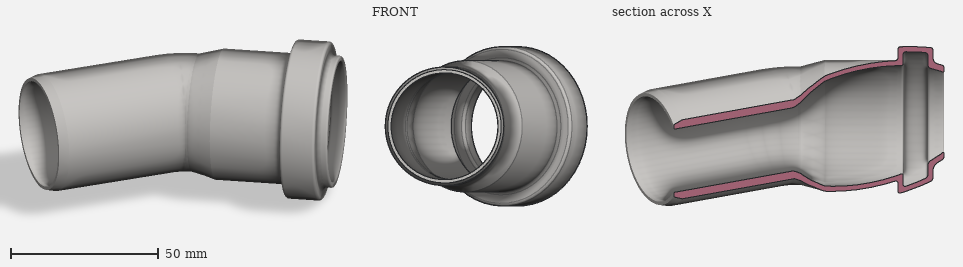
import cadquery as cq
import math


SPIGOT_RADIUS = 40.2 / 2
SPIGOT_BORE_RADIUS = 36.2 / 2
SPIGOT_LENGTH = 46.0
LEAD_IN_LENGTH = 3.3
LEAD_IN_ANGLE = 15.0

BEND_ANGLE = 30.0
BORE_CLEARANCE = 0.1
BEND_RADIUS = SPIGOT_BORE_RADIUS + BORE_CLEARANCE

SOCKET_RADIUS = 44.6 / 2
SOCKET_BORE_RADIUS = 40.8 / 2
RING_RADIUS = 54.1 / 2
GROOVE_RADIUS = 50.3 / 2
LIP_RADIUS = 44.9 / 2
LIP_BORE_RADIUS = 41.1 / 2
WALL = RING_RADIUS - GROOVE_RADIUS
COLLAR_LENGTH = 1.0
CONE_END = 9.2
RING_START = 33.8
RING_END = 45.8
SOCKET_END = 49.5
GROOVE_START = RING_START + WALL
GROOVE_END = RING_END - WALL

RING_ROUND = 0.95
RING_BASE_ROUND = 0.95
LIP_BASE_ROUND = 1.4
GROOVE_MOUTH_ROUND = 0.95
GROOVE_CORNER_ROUND = 0.8
LIP_END_ROUND = 0.6


def make_spigot():
    """Solid straight pipe with a tapered lead-in at its free end."""
    end_radius = SPIGOT_RADIUS - LEAD_IN_LENGTH * math.tan(math.radians(LEAD_IN_ANGLE))
    return (
        cq.Workplane("XY")
        .lineTo(end_radius, 0)
        .lineTo(SPIGOT_RADIUS, LEAD_IN_LENGTH)
        .lineTo(SPIGOT_RADIUS, SPIGOT_LENGTH)
        .lineTo(0, SPIGOT_LENGTH)
        .close()
        .revolve(360, (0, 0), (0, 1))
    )


def make_spigot_bore():
    return cq.Workplane("XZ").circle(SPIGOT_BORE_RADIUS).extrude(-SPIGOT_LENGTH)


def sweep_bend(section):
    """Turn a section of the spigot end about the bend axis, towards +X."""
    bend = section.revolve(BEND_ANGLE, (BEND_RADIUS, 0), (BEND_RADIUS, -1))
    return bend.translate((0, SPIGOT_LENGTH, 0))


def make_bend():
    """Solid bend; its section is the pipe circle cut off at the bend axis."""
    half_chord = math.sqrt(SPIGOT_RADIUS**2 - BEND_RADIUS**2)
    section = (
        cq.Workplane("XZ")
        .moveTo(BEND_RADIUS, half_chord)
        .threePointArc((-SPIGOT_RADIUS, 0), (BEND_RADIUS, -half_chord))
        .close()
    )
    return sweep_bend(section)


def make_bend_bore():
    return sweep_bend(cq.Workplane("XZ").circle(SPIGOT_BORE_RADIUS))


def place_on_bend(body):
    """Move a body built along +Y from the origin onto the end of the bend."""
    angle = math.radians(BEND_ANGLE)
    x = BEND_RADIUS * (1 - math.cos(angle))
    y = SPIGOT_LENGTH + BEND_RADIUS * math.sin(angle)
    return body.rotate((0, 0, 0), (0, 0, 1), -BEND_ANGLE).translate((x, y, 0))


def make_socket():
    """Solid socket: collar, cone, barrel, seal ring and lip."""
    profile = (
        cq.Workplane("XY")
        .lineTo(SPIGOT_RADIUS, 0)
        .lineTo(SPIGOT_RADIUS, COLLAR_LENGTH)
        .lineTo(SOCKET_RADIUS, CONE_END)
        .lineTo(SOCKET_RADIUS, RING_START - RING_BASE_ROUND)
        .tangentArcPoint((RING_BASE_ROUND, RING_BASE_ROUND))
        .lineTo(RING_RADIUS - RING_ROUND, RING_START)
        .tangentArcPoint((RING_ROUND, RING_ROUND))
        .lineTo(RING_RADIUS, RING_END - RING_ROUND)
        .tangentArcPoint((-RING_ROUND, RING_ROUND))
        .lineTo(LIP_RADIUS + LIP_BASE_ROUND, RING_END)
        .tangentArcPoint((-LIP_BASE_ROUND, LIP_BASE_ROUND))
        .lineTo(LIP_RADIUS, SOCKET_END - LIP_END_ROUND)
        .tangentArcPoint((-LIP_END_ROUND, LIP_END_ROUND))
        .lineTo(0, SOCKET_END)
        .close()
    )
    return place_on_bend(profile.revolve(360, (0, 0), (0, 1)))


def make_socket_bore():
    """Inside of the socket, with the seal groove between two rounded mouths."""
    profile = (
        cq.Workplane("XY")
        .lineTo(SPIGOT_BORE_RADIUS, 0)
        .lineTo(SPIGOT_BORE_RADIUS, COLLAR_LENGTH)
        .lineTo(SOCKET_BORE_RADIUS, CONE_END)
        .lineTo(SOCKET_BORE_RADIUS, GROOVE_START - GROOVE_MOUTH_ROUND)
        .tangentArcPoint((GROOVE_MOUTH_ROUND, GROOVE_MOUTH_ROUND))
        .lineTo(GROOVE_RADIUS - GROOVE_CORNER_ROUND, GROOVE_START)
        .tangentArcPoint((GROOVE_CORNER_ROUND, GROOVE_CORNER_ROUND))
        .lineTo(GROOVE_RADIUS, GROOVE_END - GROOVE_CORNER_ROUND)
        .tangentArcPoint((-GROOVE_CORNER_ROUND, GROOVE_CORNER_ROUND))
        .lineTo(LIP_BORE_RADIUS + GROOVE_MOUTH_ROUND, GROOVE_END)
        .tangentArcPoint((-GROOVE_MOUTH_ROUND, GROOVE_MOUTH_ROUND))
        .lineTo(LIP_BORE_RADIUS, SOCKET_END - LIP_END_ROUND)
        .tangentArcPoint((LIP_END_ROUND, LIP_END_ROUND))
        .lineTo(0, SOCKET_END)
        .close()
    )
    return place_on_bend(profile.revolve(360, (0, 0), (0, 1)))


body = make_spigot().union(make_bend()).union(make_socket())
bore = make_spigot_bore().union(make_bend_bore()).union(make_socket_bore())
result = body.cut(bore)